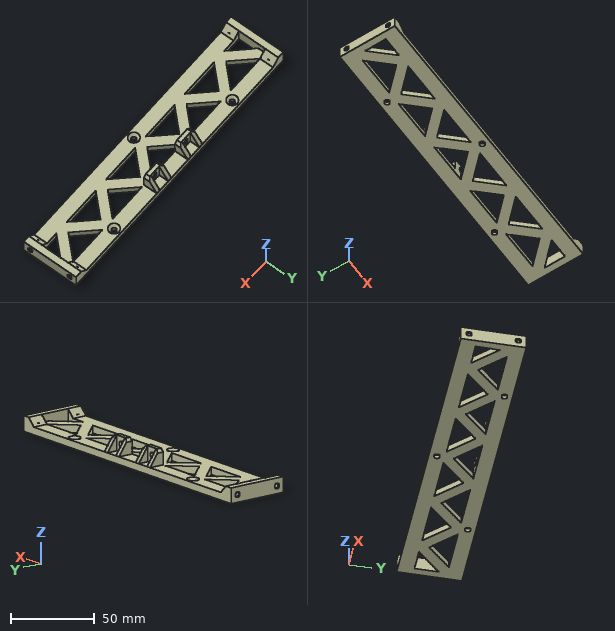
import cadquery as cq
import math

LENGTH = 200.0
WIDTH = 40.0
PLATE_THICKNESS = 5.0
RAIL_WIDTH = 10.0

WALL_THICKNESS = 5.0
WALL_HEIGHT = 10.0
SLOPE_LENGTH = 5.0

BAY_COUNT = 5
STRUT_FOOT_LENGTH = 10.0

REAR_MOUNT_SPACING_BAYS = 3
MOUNT_HOLE_DIAMETER = 3.5
COUNTERSINK_DIAMETER = 7.5
COUNTERSINK_ANGLE = 90.0

END_HOLE_DIAMETER = 2.5
END_HOLE_DEPTH = 8.0

HOLE_CHAMFER = 0.5

LUG_SPACING = 30.0
LUG_WIDTH = 14.0
LUG_TOP = 15.0
LUG_CHAMFER = 2.0
LUG_PLATE_THICKNESS = 3.0
LUG_SLOT_WIDTH = 8.0
LUG_HOLE_DIAMETER = 3.5
LUG_HOLE_HEIGHT = 10.0

HALF_LENGTH = LENGTH / 2
HALF_WIDTH = WIDTH / 2
WINDOW_LENGTH = LENGTH - 2 * WALL_THICKNESS
WINDOW_WIDTH = WIDTH - 2 * RAIL_WIDTH
WINDOW_HALF_WIDTH = WINDOW_WIDTH / 2
BAY_LENGTH = WINDOW_LENGTH / BAY_COUNT
RAIL_CENTER_Y = HALF_WIDTH - RAIL_WIDTH / 2


def make_window_block(height):
    """Block filling the opening between the rails and the end walls."""
    return cq.Workplane("XY").rect(WINDOW_LENGTH, WINDOW_WIDTH).extrude(height)


def make_frame():
    """Plate with raised end walls, opened by a window that runs up to the walls."""
    wall_inner_x = HALF_LENGTH - WALL_THICKNESS
    slope_foot_x = wall_inner_x - SLOPE_LENGTH
    profile = (
        cq.Workplane("XZ", origin=(0, HALF_WIDTH, 0))
        .moveTo(-HALF_LENGTH, 0)
        .lineTo(HALF_LENGTH, 0)
        .lineTo(HALF_LENGTH, WALL_HEIGHT)
        .lineTo(wall_inner_x, WALL_HEIGHT)
        .lineTo(slope_foot_x, PLATE_THICKNESS)
        .lineTo(-slope_foot_x, PLATE_THICKNESS)
        .lineTo(-wall_inner_x, WALL_HEIGHT)
        .lineTo(-HALF_LENGTH, WALL_HEIGHT)
        .close()
    )
    return profile.extrude(WIDTH).cut(make_window_block(WALL_HEIGHT))


def make_truss():
    """Diagonal struts zigzagging across the window, trimmed to its outline."""
    half_bay = BAY_LENGTH / 2
    strut_run = math.hypot(half_bay, WINDOW_WIDTH)
    strut_width = STRUT_FOOT_LENGTH * WINDOW_WIDTH / strut_run
    strut_angle = math.degrees(math.atan2(WINDOW_WIDTH, half_bay))
    struts = cq.Workplane("XY")
    for index in range(2 * BAY_COUNT):
        center_x = -WINDOW_LENGTH / 2 + (index + 0.5) * half_bay
        falling = index % 2 == 0
        angle = -strut_angle if falling else strut_angle
        strut = (
            cq.Workplane("XY")
            .rect(2 * strut_run, strut_width)
            .extrude(PLATE_THICKNESS)
            .rotate((0, 0, 0), (0, 0, 1), angle)
            .translate((center_x, 0, 0))
        )
        struts = struts.add(strut)
    return struts.combine().intersect(make_window_block(PLATE_THICKNESS))


def make_chamfered_drill(plane_name, mouth, diameter, depth):
    """Cutter with a conical mouth, starting at the mouth and running along the plane normal."""
    radius = diameter / 2
    workplane = cq.Workplane(plane_name, origin=mouth)
    shank = workplane.circle(radius).extrude(depth)
    cone = (
        workplane.circle(radius + HOLE_CHAMFER)
        .workplane(offset=HOLE_CHAMFER)
        .circle(radius)
        .loft()
    )
    return shank.union(cone)


def make_lug(center_x):
    """Chamfered upright on the rear rail, braced behind by two sloping cheeks with a slot between."""
    front_y = WINDOW_HALF_WIDTH
    plate_back_y = front_y + LUG_PLATE_THICKNESS
    lug = (
        cq.Workplane("YZ", origin=(center_x, 0, 0))
        .moveTo(front_y, PLATE_THICKNESS)
        .lineTo(HALF_WIDTH, PLATE_THICKNESS)
        .lineTo(plate_back_y, LUG_TOP)
        .lineTo(front_y, LUG_TOP)
        .close()
        .extrude(LUG_WIDTH / 2, both=True)
    )
    outline = (
        cq.Workplane("XZ", origin=(center_x, HALF_WIDTH, 0))
        .rect(LUG_WIDTH, 2 * LUG_TOP)
        .extrude(WIDTH)
        .edges("|Y and >Z")
        .chamfer(LUG_CHAMFER)
    )
    slot = cq.Workplane("XY").box(
        LUG_SLOT_WIDTH,
        HALF_WIDTH - plate_back_y,
        LUG_TOP - PLATE_THICKNESS,
        centered=(True, False, False),
    ).translate((center_x, plate_back_y, PLATE_THICKNESS))
    hole_mouth = (center_x, front_y, LUG_HOLE_HEIGHT)
    hole = make_chamfered_drill("ZX", hole_mouth, LUG_HOLE_DIAMETER, RAIL_WIDTH)
    return lug.intersect(outline).cut(slot).cut(hole)


def cut_mount_holes(body):
    """Countersunk holes at two rear truss nodes and at the middle of the front rail."""
    rear_x = REAR_MOUNT_SPACING_BAYS * BAY_LENGTH / 2
    places = [
        (-rear_x, RAIL_CENTER_Y),
        (rear_x, RAIL_CENTER_Y),
        (0, -RAIL_CENTER_Y),
    ]
    return (
        body.copyWorkplane(cq.Workplane("XY", origin=(0, 0, PLATE_THICKNESS)))
        .pushPoints(places)
        .cskHole(MOUNT_HOLE_DIAMETER, COUNTERSINK_DIAMETER, COUNTERSINK_ANGLE)
    )


def cut_end_holes(body):
    """Blind holes running inward from both ends, on the centre lines of the rails."""
    for end_x, inward_plane in ((-HALF_LENGTH, "YZ"), (HALF_LENGTH, "ZY")):
        for hole_y in (-RAIL_CENTER_Y, RAIL_CENTER_Y):
            mouth = (end_x, hole_y, WALL_HEIGHT / 2)
            body = body.cut(make_chamfered_drill(inward_plane, mouth, END_HOLE_DIAMETER, END_HOLE_DEPTH))
    return body


body = make_frame().union(make_truss())
body = cut_mount_holes(body)
body = cut_end_holes(body)
for lug_x in (-LUG_SPACING / 2, LUG_SPACING / 2):
    body = body.union(make_lug(lug_x))

result = body